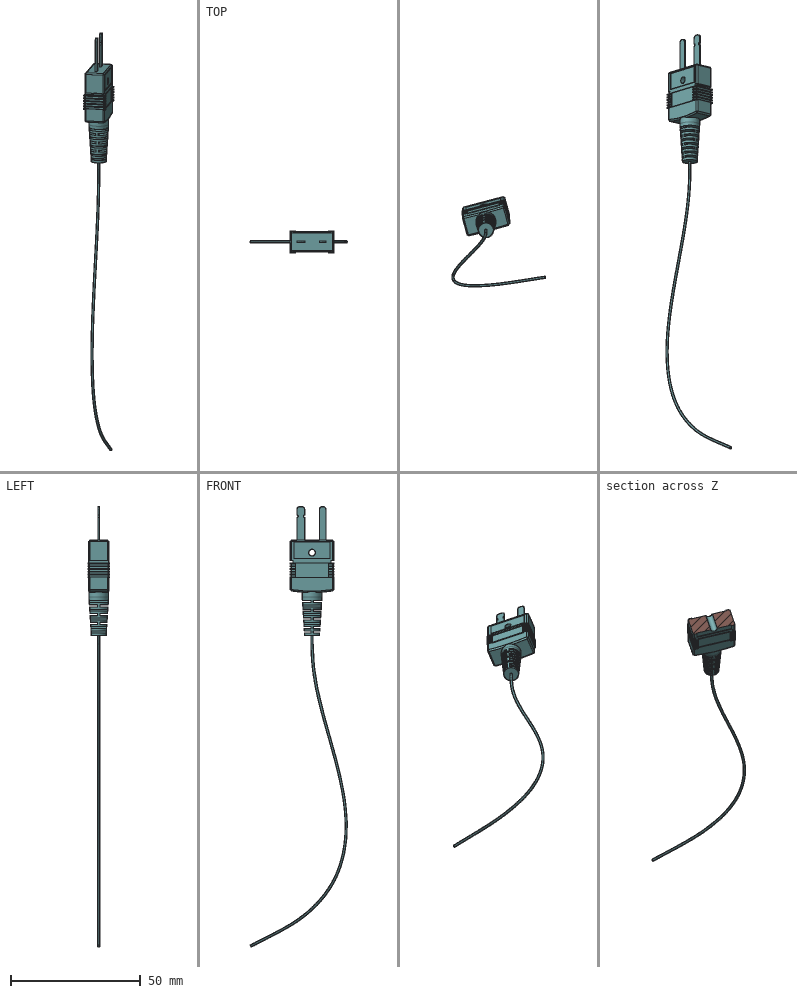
import cadquery as cq


BODY_WIDTH = 16.9
BODY_DEPTH = 7.8
BODY_SIDE_HEIGHT = 19.5
BODY_HEIGHT = 20.2
EDGE_CHAMFER = 0.55
HOLE_DIAMETER = 2.5
HOLE_Z = -4.8

RECESS_DEPTH = 0.3
PANEL_WIDTH = 13.8
PANEL_TOP = -0.7
PANEL_BOTTOM = -7.1
GRIP_TOP = -8.7
GRIP_BOTTOM = -14.3
GRIP_RECESS_WIDTH = 12.8

NOTCH_DEPTH = 1.05
NOTCH_HEIGHT = 0.8
GRIP_SIDE_DEPTH = 0.25
RIB_COUNT = 6
RIB_PITCH = 1.06
RIB_THICKNESS = 0.3
RIB_DEPTH = 8.45

BLADE_LENGTH = 13.0
BLADE_ROOT = 1.0
BLADE_THICKNESS = 0.7
BLADE_TIP_RADIUS = 1.25
NEGATIVE_BLADE_X = -4.35
NEGATIVE_BLADE_WIDTH = 3.1
POSITIVE_BLADE_X = 4.1
POSITIVE_BLADE_WIDTH = 2.6
DIMPLE_RADIUS = 0.5
DIMPLE_FROM_TIP = 3.75

RELIEF_TOP_DIAMETER = 7.7
RELIEF_BOTTOM_DIAMETER = 5.8
RELIEF_CONE_TOP = -22.0
RELIEF_BOTTOM = -36.8
WEB_THICKNESS = 1.0
SLOT_HEIGHT = 0.75
FIRST_SLOT_Z = -23.65
SLOT_PITCH = 1.68
SLOT_AXES = "XYXYXYXX"

CABLE_DIAMETER = 0.9
CABLE_STRAIGHT_END = (0.0, -40.0)
CABLE_BENDS = [(3.3, -63.7), (10.7, -91.3), (13.05, -114.0), (7.6, -132.8), (-3.3, -145.0)]
CABLE_TIP = (-23.65, -156.56)
CABLE_TIP_DIRECTION = (-0.88, -0.47)


def box(x_size, y_size, bottom, top, x=0.0, y=0.0):
    """Box centred on (x, y) that reaches from one height to another."""
    return cq.Workplane("XY", origin=(x, y, bottom)).box(x_size, y_size, top - bottom, (True, True, False))


def make_body():
    half_width = BODY_WIDTH / 2
    body = (
        cq.Workplane("XZ")
        .moveTo(-half_width, 0)
        .lineTo(half_width, 0)
        .lineTo(half_width, -BODY_SIDE_HEIGHT)
        .threePointArc((0, -BODY_HEIGHT), (-half_width, -BODY_SIDE_HEIGHT))
        .close()
        .extrude(BODY_DEPTH / 2, both=True)
    )
    body = body.edges().chamfer(EDGE_CHAMFER)
    hole = cq.Workplane("XZ").center(0, HOLE_Z).circle(HOLE_DIAMETER / 2).extrude(BODY_DEPTH, both=True)
    body = body.cut(hole)
    for side in (-1, 1):
        face_y = side * BODY_DEPTH / 2
        body = body.cut(box(PANEL_WIDTH, 2 * RECESS_DEPTH, PANEL_BOTTOM, PANEL_TOP, y=face_y))
        body = body.cut(box(GRIP_RECESS_WIDTH, 2 * RECESS_DEPTH, GRIP_BOTTOM, GRIP_TOP, y=face_y))
    return body


def add_grips(body):
    """Notch both narrow sides and put a stack of ribs below each notch."""
    rib_length = (BODY_WIDTH - GRIP_RECESS_WIDTH) / 2
    for side in (-1, 1):
        side_x = side * BODY_WIDTH / 2
        body = body.cut(box(2 * NOTCH_DEPTH, BODY_DEPTH, GRIP_TOP, GRIP_TOP + NOTCH_HEIGHT, x=side_x))
        body = body.cut(box(2 * GRIP_SIDE_DEPTH, BODY_DEPTH, GRIP_BOTTOM, GRIP_TOP, x=side_x))
        rib_x = side * (BODY_WIDTH - rib_length) / 2
        for index in range(RIB_COUNT):
            rib_z = GRIP_BOTTOM + index * RIB_PITCH
            rib_bottom = rib_z - RIB_THICKNESS / 2
            body = body.union(box(rib_length, RIB_DEPTH, rib_bottom, rib_bottom + RIB_THICKNESS, x=rib_x))
    return body


def make_blade(x, width):
    blade = box(width, BLADE_THICKNESS, -BLADE_ROOT, BLADE_LENGTH, x=x)
    return blade.edges("|Y and >Z").fillet(BLADE_TIP_RADIUS)


def make_negative_blade():
    """The wider blade, with a round dimple in each edge."""
    blade = make_blade(NEGATIVE_BLADE_X, NEGATIVE_BLADE_WIDTH)
    dimples = (
        cq.Workplane("XZ", origin=(NEGATIVE_BLADE_X, 0, BLADE_LENGTH - DIMPLE_FROM_TIP))
        .pushPoints([(-NEGATIVE_BLADE_WIDTH / 2, 0), (NEGATIVE_BLADE_WIDTH / 2, 0)])
        .circle(DIMPLE_RADIUS)
        .extrude(BLADE_THICKNESS, both=True)
    )
    return blade.cut(dimples)


def make_strain_relief():
    """Tapered sleeve, slotted crosswise down to thin flat webs."""
    sleeve = (
        cq.Workplane("XZ")
        .moveTo(0, -BODY_SIDE_HEIGHT)
        .lineTo(RELIEF_TOP_DIAMETER / 2, -BODY_SIDE_HEIGHT)
        .lineTo(RELIEF_TOP_DIAMETER / 2, RELIEF_CONE_TOP)
        .lineTo(RELIEF_BOTTOM_DIAMETER / 2, RELIEF_BOTTOM)
        .lineTo(0, RELIEF_BOTTOM)
        .close()
        .revolve(360, (0, 0, 0), (0, 1, 0))
    )
    slot_length = RELIEF_TOP_DIAMETER
    slot_offset = (WEB_THICKNESS + slot_length) / 2
    for index, axis in enumerate(SLOT_AXES):
        slot_z = FIRST_SLOT_Z - index * SLOT_PITCH
        slot_bottom = slot_z - SLOT_HEIGHT / 2
        for side in (-1, 1):
            slot_x = side * slot_offset if axis == "X" else 0.0
            slot_y = side * slot_offset if axis == "Y" else 0.0
            slot = box(slot_length, slot_length, slot_bottom, slot_bottom + SLOT_HEIGHT, x=slot_x, y=slot_y)
            sleeve = sleeve.cut(slot)
    return sleeve


def make_cable():
    path = (
        cq.Workplane("XZ")
        .moveTo(0, -BODY_HEIGHT)
        .lineTo(*CABLE_STRAIGHT_END)
        .spline([*CABLE_BENDS, CABLE_TIP], tangents=[(0, -1), CABLE_TIP_DIRECTION], includeCurrent=True)
    )
    return cq.Workplane("XY", origin=(0, 0, -BODY_HEIGHT)).circle(CABLE_DIAMETER / 2).sweep(path)


plug = add_grips(make_body())
plug = plug.union(make_negative_blade())
plug = plug.union(make_blade(POSITIVE_BLADE_X, POSITIVE_BLADE_WIDTH))
plug = plug.union(make_strain_relief())
result = plug.union(make_cable())